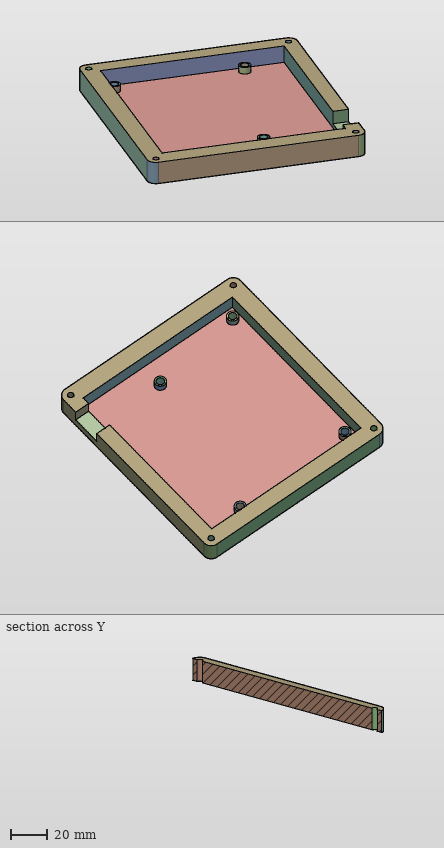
import cadquery as cq

LENGTH = 133.0
WIDTH = 126.0
HEIGHT = 13.0
CORNER_RADIUS = 5.0
FLOOR_THICKNESS = 3.0

LEFT_WALL = 9.7
RIGHT_WALL = 10.9
FRONT_WALL = 10.5
BACK_WALL = 9.2

NOTCH_LEFT = 32.5
NOTCH_WIDTH = 18.4
NOTCH_DEPTH = 7.6

SCREW_HOLE_DIAMETER = 3.5

STANDOFF_DIAMETER = 6.8
STANDOFF_HEIGHT = 4.0
STANDOFF_HOLE_DIAMETER = 4.7
STANDOFF_CENTRES = [(-52.0, 29.5), (40.4, 11.2), (-50.0, -46.7), (48.8, -47.2)]


def box_from_corner(x, y, z, length, width, height):
    """Box whose lowest corner is at (x, y, z)."""
    return cq.Workplane("XY").box(length, width, height, centered=False).translate((x, y, z))


def cylinders(centres, diameter, bottom, height):
    """Upright cylinders standing on Z = bottom."""
    plane = cq.Workplane("XY").workplane(offset=bottom)
    return plane.pushPoints(centres).circle(diameter / 2).extrude(height)


result = cq.Workplane("XY").box(LENGTH, WIDTH, HEIGHT, centered=(True, True, False))
result = result.edges("|Z").fillet(CORNER_RADIUS)

pocket = box_from_corner(
    -LENGTH / 2 + LEFT_WALL,
    -WIDTH / 2 + FRONT_WALL,
    FLOOR_THICKNESS,
    LENGTH - LEFT_WALL - RIGHT_WALL,
    WIDTH - FRONT_WALL - BACK_WALL,
    HEIGHT - FLOOR_THICKNESS,
)
result = result.cut(pocket)

notch = box_from_corner(
    NOTCH_LEFT, WIDTH / 2 - BACK_WALL, HEIGHT - NOTCH_DEPTH, NOTCH_WIDTH, BACK_WALL, NOTCH_DEPTH
)
result = result.cut(notch)

screw_x = LENGTH / 2 - CORNER_RADIUS
screw_y = WIDTH / 2 - CORNER_RADIUS
screw_centres = [(sx * screw_x, sy * screw_y) for sx in (-1, 1) for sy in (-1, 1)]
result = result.cut(cylinders(screw_centres, SCREW_HOLE_DIAMETER, 0, HEIGHT))

result = result.union(cylinders(STANDOFF_CENTRES, STANDOFF_DIAMETER, FLOOR_THICKNESS, STANDOFF_HEIGHT))
standoff_top = FLOOR_THICKNESS + STANDOFF_HEIGHT
result = result.cut(cylinders(STANDOFF_CENTRES, STANDOFF_HOLE_DIAMETER, 0, standoff_top))